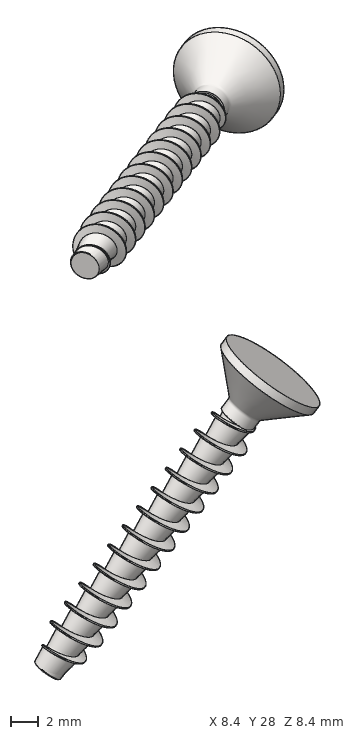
import cadquery as cq
import math


LENGTH = 28.0
HEAD_RADIUS = 4.2
RIM_HEIGHT = 0.7
SHANK_RADIUS = 1.4
SHANK_END = 4.5
NECK_FILLET = 0.32
CONE_ANGLE = 45.0
CONE_END = RIM_HEIGHT + (HEAD_RADIUS - SHANK_RADIUS) / math.tan(math.radians(CONE_ANGLE))

CORE_RADIUS = 1.13
TIP_CHAMFER = 0.08
RAMP_RADIUS = 1.36
RAMP_END_RADIUS = 1.11
RAMP_WIDTH = 1.7

PITCH = 1.79
THREAD_RADIUS = 2.0
THREAD_START = 4.28
THREAD_TURNS = 13.0
RUN_IN_TURNS = 1.0
RUN_OUT_TURNS = 1.25
RUN_IN_RADIUS = 1.5
RUN_OUT_RADIUS = 1.08
ROOT_WIDTH = 0.42
CREST_WIDTH = 0.12

EMBED_DEPTH = 0.2

START_ANGLE = 180.0

CYLINDRICAL = 360.0


def helix_edge(radius, growth, start, turns, turns_before):
    """Right-handed helix, turns_before turns after start, whose radius changes by growth."""
    height = turns * PITCH
    taper = math.atan2(growth, height)
    stretch = 1 / math.cos(taper)
    surface_angle = math.degrees(taper) if growth else CYLINDRICAL
    wire = cq.Wire.makeHelix(PITCH * stretch, height * stretch, radius, angle=surface_angle)
    phase = START_ANGLE + 360 * turns_before
    wire = wire.rotate(cq.Vector(0, 0, 0), cq.Vector(0, 0, 1), phase)
    return wire.translate(cq.Vector(0, 0, start + turns_before * PITCH)).Edges()[0]


def end_face(edges, position):
    corners = [edge.positionAt(position) for edge in edges]
    return cq.Face.makeFromWires(cq.Wire.makePolygon(corners, close=True))


def helical_solid(profile, start, stages):
    """Wind a closed (radius, height) profile about Z.

    Each stage is (turns, growth): the profile moves outward by growth over those turns.
    Stages are built in pieces of at most one turn, which keeps every face short.
    """
    pieces = []
    offset = 0.0
    turns_before = 0.0
    for turns, growth in stages:
        count = math.ceil(turns)
        for _ in range(count):
            piece_turns = turns / count
            piece_growth = growth / count
            pieces.append(
                [
                    helix_edge(radius + offset, piece_growth, start + z, piece_turns, turns_before)
                    for radius, z in profile
                ]
            )
            offset += piece_growth
            turns_before += piece_turns

    faces = [end_face(pieces[0], 0), end_face(pieces[-1], 1)]
    for edges in pieces:
        for edge, next_edge in zip(edges, edges[1:] + edges[:1]):
            faces.append(cq.Face.makeRuledSurface(edge, next_edge))
    return cq.Workplane(cq.Solid.makeSolid(cq.Shell.makeShell(faces)).fix())


def make_body():
    """Turned head, neck fillet, shank and core with its tip chamfer."""
    half_turn = math.radians(CONE_ANGLE) / 2
    fillet_run = NECK_FILLET * math.tan(half_turn)
    fillet_end = CONE_END + fillet_run
    cone_tangent = (
        SHANK_RADIUS + fillet_run * math.sin(2 * half_turn),
        CONE_END - fillet_run * math.cos(2 * half_turn),
    )
    fillet_middle = (
        SHANK_RADIUS + NECK_FILLET * (1 - math.cos(half_turn)),
        fillet_end - NECK_FILLET * math.sin(half_turn),
    )
    return (
        cq.Workplane("XZ")
        .moveTo(0, 0)
        .lineTo(HEAD_RADIUS, 0)
        .lineTo(HEAD_RADIUS, RIM_HEIGHT)
        .lineTo(*cone_tangent)
        .threePointArc(fillet_middle, (SHANK_RADIUS, fillet_end))
        .lineTo(SHANK_RADIUS, SHANK_END)
        .lineTo(CORE_RADIUS, SHANK_END)
        .lineTo(CORE_RADIUS, LENGTH - TIP_CHAMFER)
        .lineTo(CORE_RADIUS - TIP_CHAMFER, LENGTH)
        .lineTo(0, LENGTH)
        .close()
        .revolve(360, (0, 0), (0, 1))
    )


def make_ramp():
    """Ramp in step with the thread, begun one turn early inside the shank, cut at the tip."""
    root = CORE_RADIUS - EMBED_DEPTH
    profile = [
        (root, 0),
        (RAMP_RADIUS, 0),
        (RAMP_END_RADIUS, RAMP_WIDTH),
        (root, RAMP_WIDTH),
    ]
    sink = RAMP_RADIUS - RAMP_END_RADIUS
    stages = [(0.5, 0), (THREAD_TURNS, 0), (0.5, -sink)]
    ramp = helical_solid(profile, THREAD_START - PITCH, stages)
    return ramp.intersect(cq.Workplane("XY").circle(HEAD_RADIUS).extrude(LENGTH))


def make_thread():
    tooth_depth = THREAD_RADIUS - CORE_RADIUS + EMBED_DEPTH
    root = RUN_IN_RADIUS - tooth_depth
    profile = [
        (root, -ROOT_WIDTH / 2),
        (RUN_IN_RADIUS, -CREST_WIDTH / 2),
        (RUN_IN_RADIUS, CREST_WIDTH / 2),
        (root, ROOT_WIDTH / 2),
    ]
    stages = [
        (RUN_IN_TURNS, THREAD_RADIUS - RUN_IN_RADIUS),
        (THREAD_TURNS - RUN_IN_TURNS - RUN_OUT_TURNS, 0),
        (RUN_OUT_TURNS, RUN_OUT_RADIUS - THREAD_RADIUS),
    ]
    return helical_solid(profile, THREAD_START, stages)


screw = make_body().union(make_ramp()).union(make_thread())
result = screw.rotate((0, 0, 0), (1, 0, 0), 90)